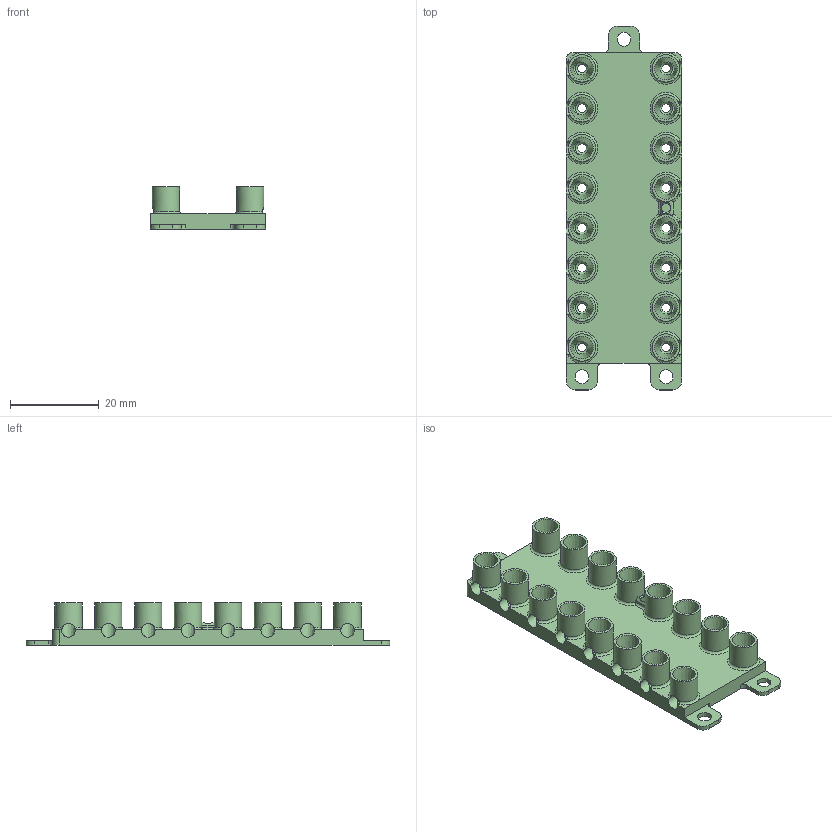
import cadquery as cq
import math


base_width = 26.0
base_height = 3.5
total_height = 9.5
corner_radius = 1.5

tubes_per_row = 8
tube_pitch = 9.0
row_inset = 3.5
tube_diameter = 6.17
flare_radius = 0.5

mouth_diameter = 5.1
seat_diameter = 2.9
drain_diameter = 2.0
seat_top = 1.5
seat_bottom = seat_top - (seat_diameter - drain_diameter) / 2

port_diameter = 3.1
port_height = 3.3

ear_width = 7.0
ear_length = 6.0
ear_thickness = 1.0
ear_corner_radius = 2.0
ear_root_radius = 1.0
ear_hole_diameter = 3.1
ear_hole_inset = 3.0

bridge_tube_index = 3
bridge_width = 2.5
bridge_ridge_width = 1.5
bridge_shoulder_height = 4.45
bridge_top_height = 5.2
bridge_hole_diameter = 2.0
bridge_hole_chamfer = 0.3

tube_radius = tube_diameter / 2
flare_outer_radius = tube_radius + flare_radius
base_length = (tubes_per_row - 1) * tube_pitch + 2 * flare_outer_radius
row_positions = [row_inset, base_width - row_inset]
tube_positions = [flare_outer_radius + i * tube_pitch for i in range(tubes_per_row)]
tube_centers = [(x, y) for x in row_positions for y in tube_positions]


def box(x_min, x_max, y_min, y_max, z_min, z_max):
    size = (x_max - x_min, y_max - y_min, z_max - z_min)
    return cq.Workplane("XY", origin=(x_min, y_min, z_min)).box(*size, centered=False)


def make_base():
    block = box(0, base_width, 0, base_length, 0, base_height)
    return block.edges("|Z and >Y").fillet(corner_radius)


def make_ear(x_center, root_y, direction):
    """Flat ear pointing along +Y (direction 1) or -Y (direction -1)."""
    half = ear_width / 2
    outer_edges = "|Z and >Y" if direction > 0 else "|Z and <Y"
    tip = root_y + direction * ear_length
    root = root_y - direction * ear_root_radius
    ear = box(x_center - half, x_center + half, min(root, tip), max(root, tip), 0, ear_thickness)
    ear = ear.edges(outer_edges).fillet(ear_corner_radius)
    hole = (
        cq.Workplane("XY")
        .center(x_center, tip - direction * ear_hole_inset)
        .circle(ear_hole_diameter / 2)
        .extrude(ear_thickness)
    )
    return ear.cut(hole)


def make_ear_root(corner_x, root_y, x_direction, y_direction):
    """Concave fillet between the side of an ear and the end of the base."""
    reach = ear_root_radius * (1 - math.sqrt(0.5))
    return (
        cq.Workplane("XY")
        .moveTo(corner_x, root_y)
        .lineTo(corner_x + x_direction * ear_root_radius, root_y)
        .threePointArc(
            (corner_x + x_direction * reach, root_y + y_direction * reach),
            (corner_x, root_y + y_direction * ear_root_radius),
        )
        .close()
        .extrude(ear_thickness)
    )


def make_tube():
    """Solid post with a concave flare at its foot, centred on the Z axis."""
    reach = flare_radius * (1 - math.sqrt(0.5))
    return (
        cq.Workplane("XZ")
        .moveTo(0, 0)
        .lineTo(flare_outer_radius, 0)
        .lineTo(flare_outer_radius, base_height)
        .threePointArc(
            (tube_radius + reach, base_height + reach),
            (tube_radius, base_height + flare_radius),
        )
        .lineTo(tube_radius, total_height)
        .lineTo(0, total_height)
        .close()
        .revolve(360, (0, 0, 0), (0, 1, 0))
    )


def make_bore():
    """Tapered cup narrowing to a conical seat and a drain hole, centred on the Z axis."""
    return (
        cq.Workplane("XZ")
        .moveTo(0, 0)
        .lineTo(drain_diameter / 2, 0)
        .lineTo(drain_diameter / 2, seat_bottom)
        .lineTo(seat_diameter / 2, seat_top)
        .lineTo(mouth_diameter / 2, total_height)
        .lineTo(0, total_height)
        .close()
        .revolve(360, (0, 0, 0), (0, 1, 0))
    )


def make_port(x_outer, x_inner, y):
    """Round port from a long side of the base to the axis of a tube."""
    start = min(x_outer, x_inner)
    return (
        cq.Workplane("YZ", origin=(start, y, port_height))
        .circle(port_diameter / 2)
        .extrude(abs(x_outer - x_inner))
    )


def make_bridge():
    """Ridged web between two tubes, flared at its foot and with a chamfered blind hole in its top."""
    x_center = row_positions[1]
    y_start = tube_positions[bridge_tube_index]
    half = bridge_width / 2
    half_ridge = bridge_ridge_width / 2
    reach = flare_radius * (1 - math.sqrt(0.5))
    flare_top = base_height + flare_radius
    web = (
        cq.Workplane("XZ", origin=(x_center, y_start + tube_pitch, 0))
        .moveTo(-half - flare_radius, base_height)
        .threePointArc((-half - reach, base_height + reach), (-half, flare_top))
        .lineTo(-half, bridge_shoulder_height)
        .lineTo(-half_ridge, bridge_top_height)
        .lineTo(half_ridge, bridge_top_height)
        .lineTo(half, bridge_shoulder_height)
        .lineTo(half, flare_top)
        .threePointArc((half + reach, base_height + reach), (half + flare_radius, base_height))
        .close()
        .extrude(tube_pitch)
    )
    hole_radius = bridge_hole_diameter / 2
    hole = (
        cq.Workplane("XZ")
        .moveTo(0, base_height)
        .lineTo(hole_radius, base_height)
        .lineTo(hole_radius, bridge_top_height - bridge_hole_chamfer)
        .lineTo(hole_radius + bridge_hole_chamfer, bridge_top_height)
        .lineTo(0, bridge_top_height)
        .close()
        .revolve(360, (0, 0, 0), (0, 1, 0))
    )
    return web.cut(hole.translate((x_center, y_start + tube_pitch / 2, 0)))


def add_ears(body):
    half = ear_width / 2
    middle = base_width / 2
    body = body.union(make_ear(middle, base_length, 1))
    for side in (-1, 1):
        body = body.union(make_ear_root(middle + side * half, base_length, side, 1))
        body = body.union(make_ear(middle + side * (middle - half), 0, -1))
        body = body.union(make_ear_root(middle + side * (middle - ear_width), 0, -side, -1))
    return body


def add_tubes(body):
    tube = make_tube()
    for x, y in tube_centers:
        body = body.union(tube.translate((x, y, 0)))
    body = body.union(make_bridge())
    envelope = box(0, base_width, -ear_length, base_length + ear_length, 0, total_height)
    return body.intersect(envelope)


def cut_bores_and_ports(body):
    bore = make_bore()
    for x, y in tube_centers:
        x_outer = 0 if x < base_width / 2 else base_width
        body = body.cut(bore.translate((x, y, 0)))
        body = body.cut(make_port(x_outer, x, y))
    return body


result = cut_bores_and_ports(add_tubes(add_ears(make_base())))